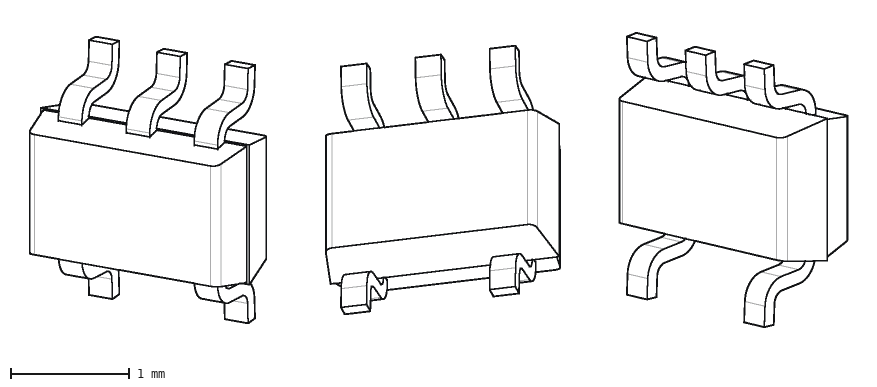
import cadquery as cq
import math


housing_length = 2.0
housing_width = 1.25
mount_half_depth = 0.493
face_half_depth = 0.407
draft_angle = 10.0
ledge_x = 0.025
ledge_z = 0.015
edge_radius = 0.07

lead_width = 0.225
lead_thickness = 0.125
lead_pitch = 0.65
lead_span = 2.28
standoff = 0.05
lead_tilt = 3.0
inner_bend_radius = 0.10
bend_start_z = housing_width / 2
root_depth = 0.125

top_lead_columns = (-1, 0, 1)
bottom_lead_columns = (-1, 1)


def drafted_half(length, width, depth, side):
    """Drafted block growing from the parting plane; side is +1 for +Y and -1 for -Y."""
    plane = cq.Plane(origin=(0, 0, 0), xDir=(1, 0, 0), normal=(0, side, 0))
    block = cq.Workplane(plane).rect(length, width).extrude(depth, taper=draft_angle)
    outer_face = ">Y" if side > 0 else "<Y"
    return block.faces(outer_face).edges("|Z").fillet(edge_radius)


def make_housing():
    mount_half = drafted_half(housing_length, housing_width, mount_half_depth, 1)
    face_half = drafted_half(
        housing_length - 2 * ledge_x, housing_width - 2 * ledge_z, face_half_depth, -1
    )
    return mount_half.union(face_half)


def make_top_lead(x_center):
    """Gull-wing lead swept along its centre line from the housing root to the foot tip."""
    tilt = math.radians(lead_tilt)
    sin_tilt = math.sin(tilt)
    cos_tilt = math.cos(tilt)
    half_thickness = lead_thickness / 2
    bend_radius = inner_bend_radius + half_thickness

    root_y = -half_thickness
    root_z = bend_start_z - root_depth
    first_center = (root_y + bend_radius, bend_start_z)
    first_mid_angle = (math.pi / 2 - tilt) / 2
    first_mid = (
        first_center[0] - bend_radius * math.cos(first_mid_angle),
        first_center[1] + bend_radius * math.sin(first_mid_angle),
    )
    shank_start = (
        first_center[0] - bend_radius * sin_tilt,
        first_center[1] + bend_radius * cos_tilt,
    )

    second_bend_rise = bend_radius * (cos_tilt - sin_tilt)
    tip_y = mount_half_depth + standoff - half_thickness * cos_tilt
    tip_z = lead_span / 2 - half_thickness * sin_tilt
    run = tip_y - shank_start[0] - second_bend_rise
    rise = tip_z - shank_start[1] - second_bend_rise
    shank_length = (run * cos_tilt - rise * sin_tilt) / math.cos(2 * tilt)

    shank_end = (
        shank_start[0] + shank_length * cos_tilt,
        shank_start[1] + shank_length * sin_tilt,
    )
    second_center = (
        shank_end[0] - bend_radius * sin_tilt,
        shank_end[1] + bend_radius * cos_tilt,
    )
    second_mid_angle = math.pi / 4
    second_mid = (
        second_center[0] + bend_radius * math.cos(second_mid_angle),
        second_center[1] - bend_radius * math.sin(second_mid_angle),
    )
    foot_start = (
        second_center[0] + bend_radius * cos_tilt,
        second_center[1] - bend_radius * sin_tilt,
    )

    center_line = (
        cq.Workplane("YZ", origin=(x_center, 0, 0))
        .moveTo(root_y, root_z)
        .lineTo(root_y, bend_start_z)
        .threePointArc(first_mid, shank_start)
        .lineTo(*shank_end)
        .threePointArc(second_mid, foot_start)
        .lineTo(tip_y, tip_z)
    )
    section = cq.Workplane("XY", origin=(x_center, root_y, root_z)).rect(lead_width, lead_thickness)
    return section.sweep(center_line)


def make_leads():
    leads = [make_top_lead(column * lead_pitch) for column in top_lead_columns]
    for column in bottom_lead_columns:
        leads.append(make_top_lead(column * lead_pitch).mirror("XY"))
    return leads


leads = make_leads()

housing = make_housing()
for lead in leads:
    housing = housing.cut(lead)

result = cq.Compound.makeCompound([housing.val(), *[lead.val() for lead in leads]])